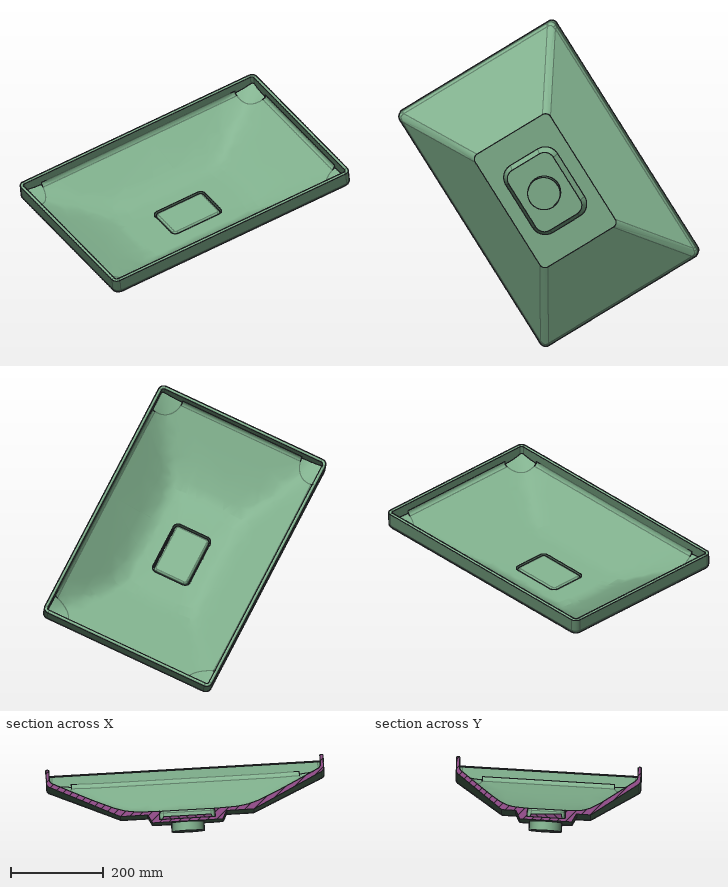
import cadquery as cq
import math

RIM_LENGTH = 600.0
RIM_WIDTH = 400.0
WALL = 7.0
RIM_CORNER_RADIUS = 12.5
RIM_CROWN = 2.5
WALL_HEIGHT = 35.5
SHELL_DEPTH = 110.0
BOTTOM_LENGTH = 289.0
BOTTOM_WIDTH = 192.5
BOTTOM_CORNER_RADIUS = 12.5
SHELL_EDGE_RADIUS = 9.5

RIM_RECESS_DEPTH = 20.5
DISH_EDGE_DEPTH = 27.5
DISH_EDGE_SPREAD = 13.0
FLAT_FRACTION = 0.46
FLOOR_BLEND = 0.06
DISH_SQUARENESS = 12
DISH_STEPS_X = 40
DISH_STEPS_Y = 60
DISH_TOLERANCE = 0.02
SIDE_CORNER_RADIUS = 18.0
SIDE_BLEND_RADIUS = 12.0
CORNER_PATCH_REACH_X = 50.0
CORNER_PATCH_REACH_Y = 46.5

BOSS_LENGTH = 172.0
BOSS_WIDTH = 132.5
BOSS_CORNER_RADIUS = 31.5
BOSS_HEIGHT = 17.5
BOSS_TAPER = 28.0
OUTLET_DIAMETER = 70.5
OUTLET_HEIGHT = 19.0

RECESS_LENGTH = 126.5
RECESS_WIDTH = 88.5
RECESS_CORNER_RADIUS = 12.0
COVER_GAP = 3.5
COVER_EDGE_RADIUS = 4.0

TILT_ABOUT_X = 3.32
TILT_ABOUT_Y = -3.42

INNER_LENGTH = RIM_LENGTH - 2 * WALL
INNER_WIDTH = RIM_WIDTH - 2 * WALL
INNER_CORNER_RADIUS = RIM_CORNER_RADIUS - WALL
HALF_WALL = WALL / 2
FLOOR_Z = WALL - SHELL_DEPTH
BOSS_BOTTOM_Z = -SHELL_DEPTH - BOSS_HEIGHT
RECESS_BOTTOM_Z = BOSS_BOTTOM_Z + WALL
RECESS_DEPTH = FLOOR_Z - RECESS_BOTTOM_Z


def rounded_rectangle(width, length, radius):
    return cq.Sketch().rect(width, length).vertices().fillet(radius).reset()


def block(width, length, radius, z, height, taper=0):
    """Round-cornered block that starts at height z; a negative height runs down."""
    plane = cq.Workplane("XY", origin=(0, 0, z))
    return plane.placeSketch(rounded_rectangle(width, length, radius)).extrude(height, taper=taper)


def round_edges_between(body, low, high, radius):
    """Round every edge that lies wholly between two heights."""
    margin = 0.05
    reach = RIM_LENGTH
    bottom_corner = (-reach, -reach, low - margin)
    top_corner = (reach, reach, high + margin)
    band = cq.selectors.BoxSelector(bottom_corner, top_corner, boundingbox=True)
    return body.edges(band).fillet(radius)


def make_outer_shell():
    """Upright wall and sloping sides down to the flat bottom, as a solid block."""
    wall = block(RIM_WIDTH, RIM_LENGTH, RIM_CORNER_RADIUS, -WALL_HEIGHT, WALL_HEIGHT - RIM_CROWN)
    rim = rounded_rectangle(RIM_WIDTH, RIM_LENGTH, RIM_CORNER_RADIUS)
    bottom = rounded_rectangle(BOTTOM_WIDTH, BOTTOM_LENGTH, BOTTOM_CORNER_RADIUS)
    drop = cq.Location(cq.Vector(0, 0, WALL_HEIGHT - SHELL_DEPTH))
    wall_foot = cq.Workplane("XY", origin=(0, 0, -WALL_HEIGHT))
    slopes = wall_foot.placeSketch(rim, bottom.moved(drop)).loft(ruled=True)
    return round_edges_between(wall.union(slopes), -WALL_HEIGHT, -WALL_HEIGHT, SHELL_EDGE_RADIUS)


def make_rim_crown():
    """Rounded bead that runs all along the top of the wall."""
    middle_width = RIM_WIDTH - WALL
    middle_length = RIM_LENGTH - WALL
    middle_block = block(middle_width, middle_length, RIM_CORNER_RADIUS - HALF_WALL, -RIM_CROWN, RIM_CROWN)
    path = middle_block.faces("<Z").wires()
    profile = cq.Workplane("XZ", origin=(middle_width / 2, 0, -RIM_CROWN)).moveTo(-HALF_WALL, 0)
    profile = profile.threePointArc((0, RIM_CROWN), (HALF_WALL, 0)).close()
    return profile.sweep(path)


def make_boss():
    """Tapered boss under the drain with the round outlet stub below it."""
    boss = block(BOSS_WIDTH, BOSS_LENGTH, BOSS_CORNER_RADIUS, -SHELL_DEPTH, -BOSS_HEIGHT, BOSS_TAPER)
    below_boss = cq.Workplane("XY", origin=(0, 0, BOSS_BOTTOM_Z))
    outlet = below_boss.circle(OUTLET_DIAMETER / 2).extrude(-OUTLET_HEIGHT)
    return boss.union(outlet)


def dish_height(x, y):
    """Height of the dish: nearly flat in the middle, then a steady slope up to the wall."""
    across = abs(2 * x / INNER_WIDTH) ** DISH_SQUARENESS
    along = abs(2 * y / INNER_LENGTH) ** DISH_SQUARENESS
    outwards = (across + along) ** (1 / DISH_SQUARENESS)
    past_flat = FLOOR_BLEND * math.log(1 + math.exp((outwards - FLAT_FRACTION) / FLOOR_BLEND))
    return FLOOR_Z - (DISH_EDGE_DEPTH + FLOOR_Z) * past_flat / (1 - FLAT_FRACTION)


def make_dish_space():
    """Everything above the dish surface, which reaches out to the outside of the rim."""
    rows = []
    for i in range(DISH_STEPS_X + 1):
        x = RIM_WIDTH * (i / DISH_STEPS_X - 0.5)
        ys = [RIM_LENGTH * (j / DISH_STEPS_Y - 0.5) for j in range(DISH_STEPS_Y + 1)]
        rows.append([cq.Vector(x, y, dish_height(x, y)) for y in ys])
    surface = cq.Face.makeSplineApprox(rows, tol=DISH_TOLERANCE, minDeg=3, maxDeg=5)
    return cq.Workplane(cq.Solid.extrudeLinear(surface, cq.Vector(0, 0, SHELL_DEPTH)))


def make_dish(corner_radius):
    """Dish below the rim, with a plain edge against the wall."""
    return block(INNER_WIDTH, INNER_LENGTH, corner_radius, 0, -SHELL_DEPTH).intersect(make_dish_space())


def blend_dish_edge(dish):
    """Blend the whole edge between the dish and the wall; the edge rises a little at the corners."""
    low = -DISH_EDGE_DEPTH - DISH_EDGE_SPREAD
    high = -DISH_EDGE_DEPTH + DISH_EDGE_SPREAD
    return round_edges_between(dish, low, high, SIDE_BLEND_RADIUS)


def make_corner_zones():
    """Upright oval cylinders in the four inner corners, below the upright part of the wall."""
    plane = cq.Workplane("XY", origin=(0, 0, -RIM_RECESS_DEPTH))
    corners = plane.rect(INNER_WIDTH, INNER_LENGTH, forConstruction=True).vertices()
    return corners.ellipse(CORNER_PATCH_REACH_X, CORNER_PATCH_REACH_Y).extrude(-SHELL_DEPTH)


def hollow_out(body):
    """Cut the rim recess, the dish along the sides and the four corner patches."""
    rim_recess = block(INNER_WIDTH, INNER_LENGTH, INNER_CORNER_RADIUS, 0, -RIM_RECESS_DEPTH)
    side_dish = blend_dish_edge(make_dish(SIDE_CORNER_RADIUS))
    corner_dish = make_dish(INNER_CORNER_RADIUS)
    zones = make_corner_zones()
    body = body.cut(side_dish.cut(zones), clean=False)
    body = body.cut(corner_dish.intersect(zones), clean=False)
    return body.cut(rim_recess)


def make_basin():
    """Hollow shell with its boss, drain recess and rounded rim, still level."""
    recess = block(RECESS_WIDTH, RECESS_LENGTH, RECESS_CORNER_RADIUS, RECESS_BOTTOM_Z, SHELL_DEPTH)
    hollow = hollow_out(make_outer_shell().union(make_boss()))
    return hollow.cut(recess).union(make_rim_crown())


def make_cover():
    """Loose plate resting on the recess bottom, flush with the basin floor."""
    width = RECESS_WIDTH - 2 * COVER_GAP
    length = RECESS_LENGTH - 2 * COVER_GAP
    plate = block(width, length, RECESS_CORNER_RADIUS - COVER_GAP, RECESS_BOTTOM_Z, RECESS_DEPTH)
    return plate.faces(">Z").edges().fillet(COVER_EDGE_RADIUS)


def tilt(body):
    """Lean a level body sideways, then lengthwise, about the middle of the rim."""
    origin = (0, 0, 0)
    return body.rotate(origin, (0, 1, 0), TILT_ABOUT_Y).rotate(origin, (1, 0, 0), TILT_ABOUT_X)


basin = tilt(make_basin())
cover = tilt(make_cover())

result = cq.Compound.makeCompound([basin.val(), cover.val()])